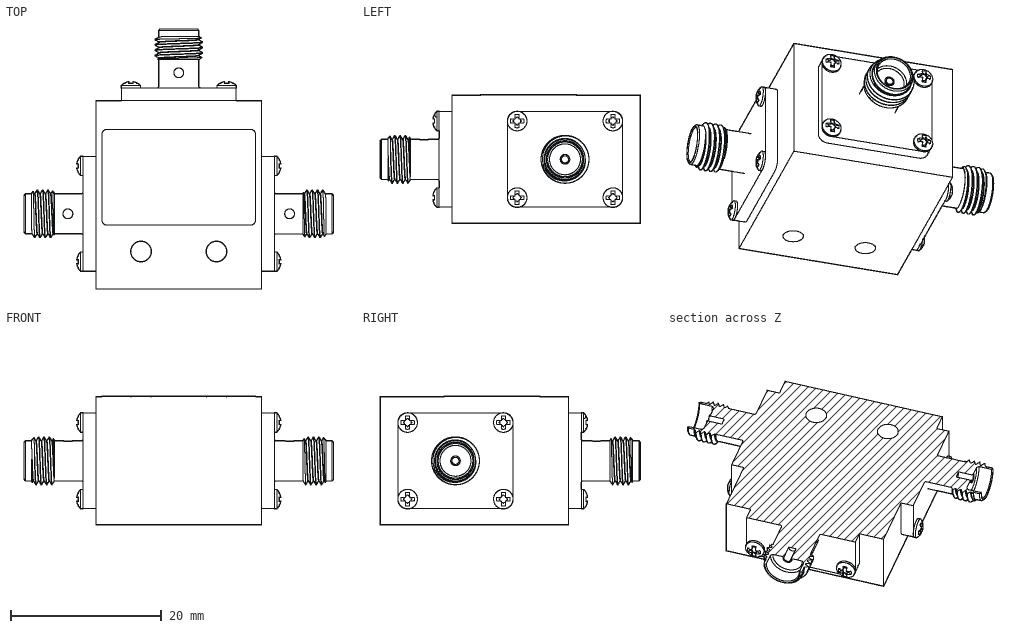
import cadquery as cq
import math

BODY_X = 22.0
BODY_Y = 25.0
BODY_Z = 17.0
MOUNT_HOLE_DIA = 2.7
MOUNT_HOLE_SPACING = 10.0
MOUNT_HOLE_Y = -7.5

LABEL_X = 20.4
LABEL_Y = 12.7
LABEL_THICKNESS = 0.08
LABEL_CENTER_Y = 2.35
LABEL_CORNER_RADIUS = 0.7

FLANGE_WIDTH = 15.24
FLANGE_HEIGHT = 12.7
FLANGE_THICKNESS = 1.7
SCREW_INSET = 1.27
SCREW_HEAD_DIA = 2.6
SCREW_RIM_HEIGHT = 0.3
SCREW_HEAD_HEIGHT = 0.88
CROSS_LENGTH = 2.7
CROSS_FLOOR_LENGTH = 0.85
CROSS_WIDTH = 0.5
CROSS_DEPTH = 0.5
CROSS_CORE_SIDE = 0.8

PORT_LENGTH = 9.525
BARREL_RADIUS = 2.68
BARREL_TIP_CHAMFER = 0.2
BARREL_ROOT_FILLET = 0.2
BORE_RADIUS = 2.3
BORE_DEPTH = 1.9
BORE_FLOOR_RADIUS = 2.05
BORE_CONE_DEPTH = 0.25
BORE_CHAMFER = 0.15
CONTACT_HOLE_RADIUS = 0.47
CONTACT_RADIUS = 0.635
CONTACT_HEIGHT = 0.1
CONTACT_HOLE_DEPTH = 2.0
PLUG_HOLE_DIA = 1.3
PLUG_FROM_FLANGE = 2.0
PLUG_DEPTH = 0.12

THREAD_RADIUS = 6.35 / 2
THREAD_PITCH = 25.4 / 36
THREAD_START = 1.02
THREAD_END = 4.04
THREAD_PHASE = 0.36
THREAD_TURNS = 6
THREAD_FLANK_ANGLE = 30
THREAD_HALF_CREST = 0.03
THREAD_SINK = 0.05
THREAD_END_CHAMFER = 0.4

SIDE_PORT_Y = -2.5


def housing():
    block = cq.Workplane("XY").box(BODY_X, BODY_Y, BODY_Z)
    label = (
        cq.Workplane("XY", origin=(0, LABEL_CENTER_Y, BODY_Z / 2))
        .rect(LABEL_X, LABEL_Y)
        .extrude(LABEL_THICKNESS)
        .edges("|Z")
        .fillet(LABEL_CORNER_RADIUS)
    )
    half_spacing = MOUNT_HOLE_SPACING / 2
    holes = (
        cq.Workplane("XY", origin=(0, 0, -BODY_Z / 2))
        .pushPoints([(-half_spacing, MOUNT_HOLE_Y), (half_spacing, MOUNT_HOLE_Y)])
        .circle(MOUNT_HOLE_DIA / 2)
        .extrude(BODY_Z)
    )
    return block.union(label).cut(holes)


def screw_head():
    """Domed cross-recess head standing on Z = 0."""
    radius = SCREW_HEAD_DIA / 2
    dome_rise = SCREW_HEAD_HEIGHT - SCREW_RIM_HEIGHT
    dome_radius = (radius**2 + dome_rise**2) / (2 * dome_rise)
    half_sweep = math.asin(radius / dome_radius) / 2
    dome_center_z = SCREW_HEAD_HEIGHT - dome_radius
    dome_middle = (
        dome_radius * math.sin(half_sweep),
        dome_center_z + dome_radius * math.cos(half_sweep),
    )
    head = (
        cq.Workplane("XZ")
        .lineTo(radius, 0)
        .lineTo(radius, SCREW_RIM_HEIGHT)
        .threePointArc(dome_middle, (0, SCREW_HEAD_HEIGHT))
        .close()
        .revolve(360, (0, 0), (0, 1))
    )
    recess_floor_z = SCREW_HEAD_HEIGHT - CROSS_DEPTH
    slot = (
        cq.Workplane("XZ")
        .moveTo(-CROSS_FLOOR_LENGTH / 2, recess_floor_z)
        .lineTo(CROSS_FLOOR_LENGTH / 2, recess_floor_z)
        .lineTo(CROSS_LENGTH / 2, SCREW_HEAD_HEIGHT)
        .lineTo(-CROSS_LENGTH / 2, SCREW_HEAD_HEIGHT)
        .close()
        .extrude(CROSS_WIDTH / 2, both=True)
    )
    core = (
        cq.Workplane("XY", origin=(0, 0, recess_floor_z))
        .rect(CROSS_CORE_SIDE, CROSS_CORE_SIDE)
        .extrude(CROSS_DEPTH)
        .rotate((0, 0, 0), (0, 0, 1), 45)
    )
    cross_slot = slot.rotate((0, 0, 0), (0, 0, 1), 90)
    recess = core.union(slot).union(cross_slot)
    return head.cut(recess)


def flange():
    """Mounting plate on Z = 0 with a screw head at each corner."""
    plate = (
        cq.Workplane("XY")
        .rect(FLANGE_WIDTH, FLANGE_HEIGHT)
        .extrude(FLANGE_THICKNESS)
        .edges("|Z")
        .fillet(SCREW_INSET)
    )
    head = screw_head()
    for side_x in (-1, 1):
        for side_y in (-1, 1):
            x = side_x * (FLANGE_WIDTH / 2 - SCREW_INSET)
            y = side_y * (FLANGE_HEIGHT / 2 - SCREW_INSET)
            plate = plate.union(head.translate((x, y, FLANGE_THICKNESS)))
    return plate


def thread():
    """Helical ridge around the barrel, trimmed to a chamfered sleeve."""
    height = THREAD_TURNS * THREAD_PITCH
    base_radius = BARREL_RADIUS - THREAD_SINK
    flank_run = (THREAD_RADIUS - base_radius) * math.tan(math.radians(THREAD_FLANK_ANGLE))
    half_base = THREAD_HALF_CREST + flank_run
    path = cq.Wire.makeHelix(THREAD_PITCH, height, BARREL_RADIUS)
    ridge = (
        cq.Workplane("XZ")
        .moveTo(base_radius, -half_base)
        .lineTo(THREAD_RADIUS, -THREAD_HALF_CREST)
        .lineTo(THREAD_RADIUS, THREAD_HALF_CREST)
        .lineTo(base_radius, half_base)
        .close()
        .sweep(cq.Workplane(path), isFrenet=True)
        .translate((0, 0, PORT_LENGTH - THREAD_PHASE - height))
    )
    sleeve = (
        cq.Workplane("XY", origin=(0, 0, PORT_LENGTH - THREAD_END))
        .circle(THREAD_RADIUS + THREAD_SINK)
        .extrude(THREAD_END - THREAD_START)
        .edges()
        .chamfer(THREAD_END_CHAMFER, THREAD_END_CHAMFER + THREAD_SINK)
    )
    return ridge.intersect(sleeve)


def barrel():
    """Hollow barrel along +Z with its centre contact; the plug hole faces -Y."""
    flare_radius = BARREL_RADIUS + BARREL_ROOT_FILLET
    flare_top = FLANGE_THICKNESS + BARREL_ROOT_FILLET
    bore_end = PORT_LENGTH - BORE_DEPTH
    bore_floor = bore_end - BORE_CONE_DEPTH
    contact_floor = bore_floor - CONTACT_HOLE_DEPTH
    contact_top = bore_floor + CONTACT_HEIGHT
    flare_offset = BARREL_ROOT_FILLET * math.sqrt(0.5)
    flare_middle = (flare_radius - flare_offset, flare_top - flare_offset)
    body = (
        cq.Workplane("XZ")
        .lineTo(flare_radius, 0)
        .lineTo(flare_radius, FLANGE_THICKNESS)
        .threePointArc(flare_middle, (BARREL_RADIUS, flare_top))
        .lineTo(BARREL_RADIUS, PORT_LENGTH - BARREL_TIP_CHAMFER)
        .lineTo(BARREL_RADIUS - BARREL_TIP_CHAMFER, PORT_LENGTH)
        .lineTo(BORE_RADIUS + BORE_CHAMFER, PORT_LENGTH)
        .lineTo(BORE_RADIUS, PORT_LENGTH - BORE_CHAMFER)
        .lineTo(BORE_RADIUS, bore_end)
        .lineTo(BORE_FLOOR_RADIUS, bore_floor)
        .lineTo(CONTACT_RADIUS, bore_floor)
        .lineTo(CONTACT_RADIUS, contact_top)
        .lineTo(CONTACT_HOLE_RADIUS, contact_top)
        .lineTo(CONTACT_HOLE_RADIUS, contact_floor)
        .lineTo(0, contact_floor)
        .close()
        .revolve(360, (0, 0), (0, 1))
    )
    plug_z = FLANGE_THICKNESS + PLUG_FROM_FLANGE
    plug_hole = (
        cq.Workplane("XZ", origin=(0, PLUG_DEPTH - BARREL_RADIUS, plug_z))
        .circle(PLUG_HOLE_DIA / 2)
        .extrude(BARREL_RADIUS)
    )
    return body.cut(plug_hole)


def connector():
    """Complete port pointing along +Y from the XZ plane, plug hole facing +Z."""
    port = flange().union(barrel()).union(thread())
    return port.rotate((0, 0, 0), (1, 0, 0), -90)


def place(port, turn, position):
    return port.rotate((0, 0, 0), (0, 0, 1), turn).translate(position)


port = connector()
result = (
    housing()
    .union(place(port, 0, (0, BODY_Y / 2, 0)))
    .union(place(port, 90, (-BODY_X / 2, SIDE_PORT_Y, 0)))
    .union(place(port, -90, (BODY_X / 2, SIDE_PORT_Y, 0)))
)